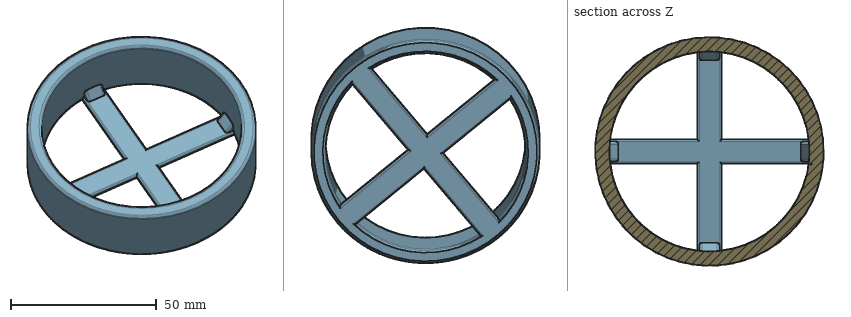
import cadquery as cq

OUTER_DIAMETER = 78.5
WALL = 5.0
HEIGHT = 22.0
TOP_ROUND = 1.0
BOTTOM_CHAMFER = 1.0
SHOULDER_ROUND = 1.0
OUTER_RADIUS = OUTER_DIAMETER / 2
INNER_RADIUS = OUTER_RADIUS - WALL
MID_WALL_RADIUS = (OUTER_RADIUS + INNER_RADIUS) / 2

BAR_WIDTH = 8.5
BAR_THICKNESS = 2.0
BAR_ROUND = 0.7
BAR_LENGTH = 2 * MID_WALL_RADIUS

GUSSET_COUNT = 4
GUSSET_LEG = 3.0
GUSSET_WIDTH = BAR_WIDTH - 2 * BAR_ROUND
GUSSET_ROUND = 1.0


def make_ring():
    """Ring with rounded top rims and chamfered bottom rims whose shoulders are blended into the walls."""
    ring = cq.Workplane("XY").circle(OUTER_RADIUS).circle(INNER_RADIUS).extrude(HEIGHT)
    ring = ring.faces("<Z").edges().chamfer(BOTTOM_CHAMFER)
    ring = ring.faces("%CYLINDER").edges("<Z").fillet(SHOULDER_ROUND)
    return ring.faces(">Z").edges().fillet(TOP_ROUND)


def make_cross():
    """Two crossing bars with rounded long edges; their ends are sunk into the ring wall."""
    bar = cq.Workplane("XY").box(BAR_LENGTH, BAR_WIDTH, BAR_THICKNESS, centered=(True, True, False))
    bar = bar.edges("|X").fillet(BAR_ROUND)
    return bar.union(bar.rotate((0, 0, 0), (0, 0, 1), 90))


def make_gusset():
    """Gusset on the +X bar; its foot is sunk into the bar and its back into the ring wall."""
    toe = INNER_RADIUS - GUSSET_LEG
    rise = MID_WALL_RADIUS - toe
    foot = BAR_THICKNESS / 2
    wedge = (
        cq.Workplane("XZ")
        .moveTo(toe, BAR_THICKNESS)
        .lineTo(MID_WALL_RADIUS, BAR_THICKNESS + rise)
        .lineTo(MID_WALL_RADIUS, foot)
        .lineTo(toe, foot)
        .close()
        .extrude(GUSSET_WIDTH / 2, both=True)
    )
    sloped_edges = "not(|X or |Y or |Z)"
    return wedge.edges(sloped_edges).fillet(GUSSET_ROUND)


def make_part():
    part = make_ring().union(make_cross())
    gusset = make_gusset()
    for i in range(GUSSET_COUNT):
        part = part.union(gusset.rotate((0, 0, 0), (0, 0, 1), i * 360 / GUSSET_COUNT))
    return part


result = make_part()